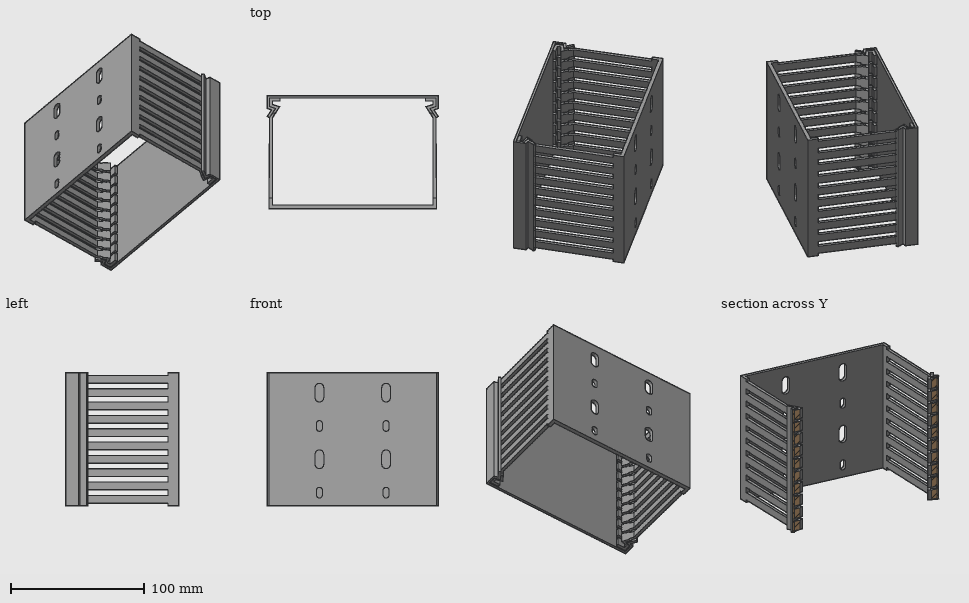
import cadquery as cq
import math

length = 100.0
overall_width = 128.4
overall_depth = 85.0

cover_plate = 1.85
snap_thickness = 2.0
cover_side = 1.7

base_thickness = 3.0
wall_thickness = 2.3
base_width = 126.0
lip_width = 8.1

shelf_slope = 0.31
leg_slope = 1.53
shelf_start = 8.15
leg_end = 16.6

slot_pitch = 10.0
slot_width = 4.0
snap_slot_width = 2.0
slot_root = 8.3
slot_center_end = 14.6

hole_columns = 2
hole_column_pitch = 50.0
hole_row_pitch = 50.0
first_large_row = 35.0
first_small_row = 10.0
holes_per_column = 2
large_hole = (14.0, 6.5)
small_hole = (8.0, 4.5)

cover_half = overall_width / 2
wall_half = cover_half - cover_side
inner_half = wall_half - wall_thickness
lip_back = overall_depth - cover_plate
shelf_y = overall_depth - shelf_start
leg_y = overall_depth - leg_end
inner_shelf_y = shelf_y + wall_thickness - shelf_slope * wall_thickness


def bead_tip(half_width, shelf_at, leg_at):
    """Meeting point of the shelf and leg lines that both start at half_width."""
    travel = (shelf_at - leg_at) / (shelf_slope + leg_slope)
    return (half_width - travel, shelf_at - shelf_slope * travel)


def mirrored_prism(half_outline):
    """Extrude a half outline and its mirror image across the YZ plane along Z."""
    other_half = [(-x, y) for x, y in reversed(half_outline)]
    return cq.Workplane("XY").polyline(half_outline + other_half).close().extrude(length)


def duct_profile():
    return mirrored_prism([
        (base_width / 2, 0),
        (wall_half, leg_y),
        bead_tip(wall_half, shelf_y, leg_y),
        (wall_half, shelf_y),
        (wall_half, lip_back),
        (wall_half - lip_width, lip_back),
        (wall_half - lip_width, lip_back - wall_thickness),
        (inner_half, lip_back - wall_thickness),
        (inner_half, inner_shelf_y),
        bead_tip(inner_half, inner_shelf_y, leg_y),
        (inner_half, leg_y),
        (inner_half, base_thickness),
    ])


def side_slot(z):
    """Slot through both walls: wide with a round end, then narrow to the cover."""
    center_y = overall_depth - slot_center_end
    wide = cq.Workplane("XY").box(
        overall_width, center_y - slot_root, slot_width, centered=(True, False, True)
    ).translate((0, slot_root, 0))
    round_end = cq.Workplane("YZ").center(center_y, 0).circle(slot_width / 2)
    round_end = round_end.extrude(cover_half, both=True)
    narrow = cq.Workplane("XY").box(
        overall_width, slot_center_end, snap_slot_width, centered=(True, False, True)
    ).translate((0, center_y, 0))
    return wide.union(round_end).union(narrow).translate((0, 0, z))


def mounting_holes(size, first_row):
    """Grid of oblong holes through the base, long side along Z."""
    grid_center_z = first_row + hole_row_pitch * (holes_per_column - 1) / 2
    return (
        cq.Workplane("XZ")
        .center(0, grid_center_z)
        .rarray(hole_column_pitch, hole_row_pitch, hole_columns, holes_per_column)
        .slot2D(size[0], size[1], 90)
        .extrude(-base_thickness)
    )


def make_duct():
    duct = duct_profile()
    for i in range(round(length / slot_pitch) + 1):
        duct = duct.cut(side_slot(i * slot_pitch))
    duct = duct.cut(mounting_holes(large_hole, first_large_row))
    return duct.cut(mounting_holes(small_hole, first_small_row))


def make_cover():
    shelf_angle = math.atan(shelf_slope)
    leg_angle = math.atan(leg_slope)

    outer_shelf_y = shelf_y - snap_thickness / math.cos(shelf_angle)
    outer_leg_y = leg_y + snap_thickness / math.cos(leg_angle)
    tip_x, tip_y = bead_tip(wall_half, outer_shelf_y, outer_leg_y)

    flare_y = outer_leg_y - leg_slope * (cover_half - wall_half)
    square_cut_x = cover_half - snap_thickness * math.sin(leg_angle)
    square_cut_y = flare_y - snap_thickness * math.cos(leg_angle)

    return mirrored_prism([
        (cover_half, overall_depth),
        (cover_half, outer_shelf_y + shelf_slope * cover_side),
        (tip_x, tip_y),
        (cover_half, flare_y),
        (square_cut_x, square_cut_y),
        bead_tip(wall_half, shelf_y, leg_y),
        (wall_half, shelf_y),
        (wall_half, lip_back),
    ])


duct = make_duct()
cover = make_cover()
result = cq.Compound.makeCompound([duct.val(), cover.val()])